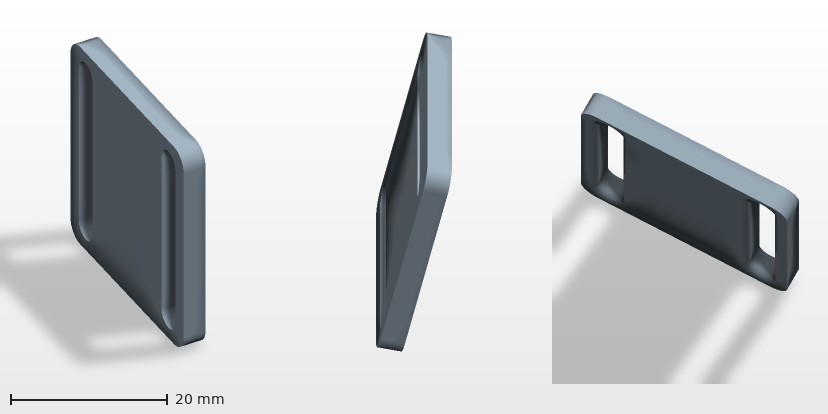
import cadquery as cq

plate_width = 30.0
plate_thickness = 3.2
plate_height = 31.0
corner_radius = 2.5

slot_width = 3.6
slot_length = 27.65
slot_spacing = 22.0
slot_rim_radius = 1.0

plate = (
    cq.Workplane("XZ")
    .rect(plate_width, plate_height)
    .extrude(plate_thickness / 2, both=True)
    .edges("|Y")
    .fillet(corner_radius)
)

slots = (
    cq.Workplane("XZ")
    .rarray(slot_spacing, 0.3, 2, 1)
    .slot2D(slot_length, slot_width, angle=90)
    .extrude(plate_thickness, both=True)
)

slotted_plate = plate.cut(slots)

back_face = slotted_plate.faces(">Y").val()
slot_rims = [edge for rim in back_face.innerWires() for edge in rim.Edges()]

result = slotted_plate.newObject(slot_rims).fillet(slot_rim_radius)